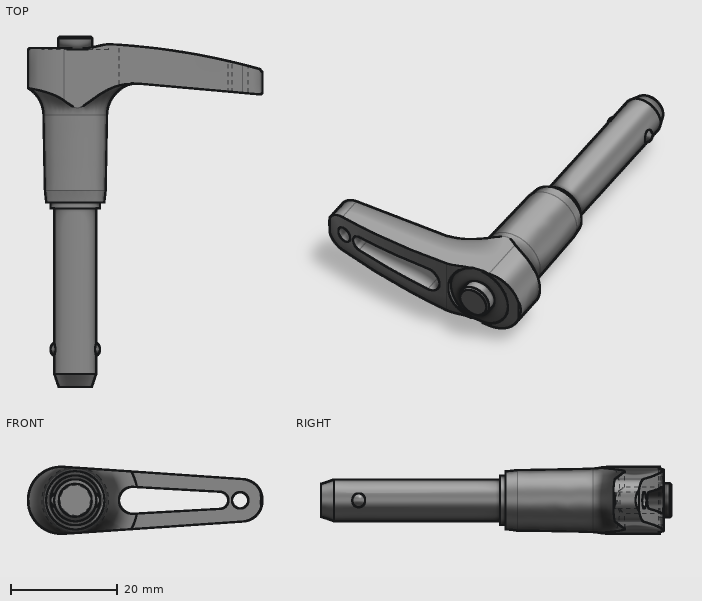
import cadquery as cq
import math


overall_length = 66.05
pin_radius = 3.95
pin_tip_radius = 3.1
pin_tip_length = 2.5
ball_radius = 1.4
ball_reach = 4.7
ball_height = 7.1
button_radius = 3.25
button_chamfer = 0.4

flange_bottom = 33.7
flange_radius = 4.7
grip_bottom = 34.75
grip_bottom_radius = 5.5
grip_taper_top = 37.05
grip_taper_radius = 5.75
grip_top = 51.25
grip_top_radius = 6.0
flare_radius = 5.9
flare_outer_radius = grip_top_radius + flare_radius
flare_top = grip_top + flare_radius

head_radius = 6.35
head_left = -8.9
head_center = head_left + head_radius
tip_radius = 4.0
handle_right = 35.25
tip_center = handle_right - tip_radius

head_top = 63.85
head_edge_round = 0.3
hump_start = 2.0
hump_x = 6.6
hump_top = 64.6
crown_mid = (22.45, 62.75)
handle_end_x = 34.75
handle_end_top = 59.9
handle_end_bottom = 55.1
tip_top_round = 0.65
tip_bottom_round = 0.3
underside_slope = (handle_end_bottom - flare_top) / (handle_right - tip_bottom_round - flare_outer_radius)
underside_left = flare_top + underside_slope * (head_left - flare_outer_radius)
flare_overlap_top = underside_left + 0.65

spot_radius = 6.3
spot_floor = 63.6
slot_left = 8.25
slot_left_radius = 2.5
slot_right = 28.8
slot_right_radius = 1.6
eye_x = 31.05
eye_radius = 1.5


def tapered_outline(x_big, r_big, x_small, r_small):
    """Prism along Y whose outline is two circles on the X axis joined by common tangents."""
    lean = (r_big - r_small) / (x_small - x_big)
    rise = math.sqrt(1 - lean**2)
    big_x, big_z = x_big + r_big * lean, r_big * rise
    small_x, small_z = x_small + r_small * lean, r_small * rise
    return (
        cq.Workplane("XZ")
        .moveTo(big_x, big_z)
        .lineTo(small_x, small_z)
        .threePointArc((x_small + r_small, 0), (small_x, -small_z))
        .lineTo(big_x, -big_z)
        .threePointArc((x_big - r_big, 0), (big_x, big_z))
        .close()
        .extrude(-overall_length)
    )


def cylinder_along_pin(radius, bottom, top, x=0):
    return cq.Workplane("XZ", origin=(0, bottom, 0)).center(x, 0).circle(radius).extrude(bottom - top)


def make_handle():
    outline = tapered_outline(head_center, head_radius, tip_center, tip_radius)
    profile = (
        cq.Workplane("XY", origin=(0, 0, -head_radius))
        .moveTo(head_left, underside_left)
        .lineTo(head_left, head_top - head_edge_round)
        .lineTo(head_left + head_edge_round, head_top)
        .lineTo(hump_start, head_top)
        .spline([(hump_x, hump_top)], tangents=[(1, 0), (1, 0)], includeCurrent=True)
        .threePointArc(crown_mid, (handle_end_x, handle_end_top))
        .lineTo(handle_right, handle_end_top - tip_top_round)
        .lineTo(handle_right, handle_end_bottom + tip_bottom_round)
        .lineTo(handle_right - tip_bottom_round, handle_end_bottom)
        .lineTo(head_left, underside_left)
        .close()
        .extrude(2 * head_radius)
    )
    return outline.intersect(profile.union(make_flare()))


def make_flare():
    """Solid around the pin axis whose concave side sweeps from the collar out to the handle."""
    arc_offset = flare_radius * math.sqrt(0.5)
    return (
        cq.Workplane("XY")
        .moveTo(0, grip_top)
        .lineTo(grip_top_radius, grip_top)
        .threePointArc(
            (flare_outer_radius - arc_offset, grip_top + arc_offset),
            (flare_outer_radius, flare_top),
        )
        .lineTo(flare_outer_radius, flare_overlap_top)
        .lineTo(0, flare_overlap_top)
        .close()
        .revolve(360, (0, 0, 0), (0, 1, 0))
    )


def make_pin_and_collar():
    return (
        cq.Workplane("XY")
        .polyline([
            (0, 0),
            (pin_tip_radius, 0),
            (pin_radius, pin_tip_length),
            (pin_radius, flange_bottom),
            (flange_radius, flange_bottom),
            (flange_radius, grip_bottom),
            (grip_bottom_radius, grip_bottom),
            (grip_taper_radius, grip_taper_top),
            (grip_top_radius, grip_top),
            (0, grip_top),
        ])
        .close()
        .revolve(360, (0, 0, 0), (0, 1, 0))
    )


def make_balls():
    offset = ball_reach - ball_radius
    return cq.Workplane("XY").pushPoints([(-offset, ball_height), (offset, ball_height)]).sphere(ball_radius)


def make_button():
    return cylinder_along_pin(button_radius, spot_floor, overall_length).faces(">Y").chamfer(button_chamfer)


spotface = cylinder_along_pin(spot_radius, spot_floor, overall_length)
slot = tapered_outline(
    slot_left + slot_left_radius, slot_left_radius, slot_right - slot_right_radius, slot_right_radius
)
eye = cylinder_along_pin(eye_radius, 0, overall_length, eye_x)

handle = make_handle().cut(spotface).cut(slot).cut(eye)
result = handle.union(make_pin_and_collar()).union(make_balls()).union(make_button())